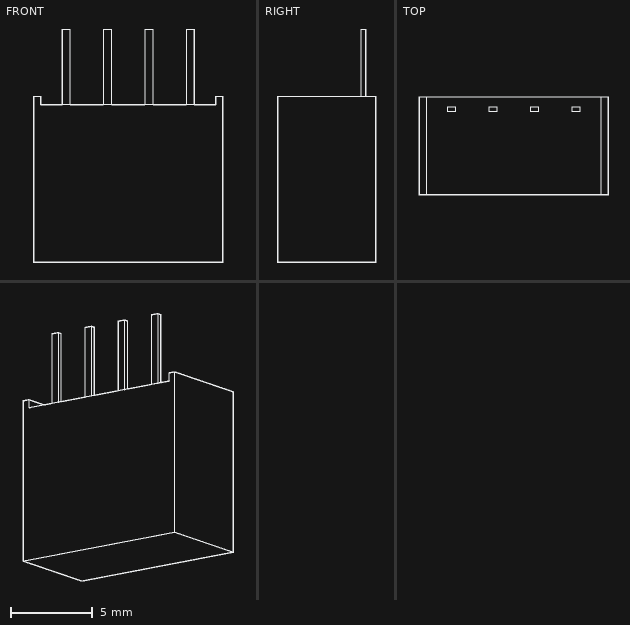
import cadquery as cq

body_length = 11.6
body_depth = 6.0
overall_height = 14.26
rail_top = 10.17

rail_width = 0.44
rail_height = 0.51
floor_height = rail_top - rail_height

pin_count = 4
pin_pitch = 2.54
pin_width = 0.5
pin_thickness = 0.3
pin_row_inset = 0.75
pin_length = overall_height - floor_height
pin_row_y = body_depth / 2 - pin_row_inset


def make_housing():
    """Block with a full-depth recess that leaves a rail at each end."""
    block = cq.Workplane("XY").box(body_length, body_depth, rail_top, centered=(True, True, False))
    recess = (
        cq.Workplane("XY")
        .workplane(offset=floor_height)
        .rect(body_length - 2 * rail_width, body_depth)
        .extrude(rail_height)
    )
    return block.cut(recess)


def make_pins():
    """Evenly spaced pins, with the row centred along the housing."""
    return (
        cq.Workplane("XY")
        .workplane(offset=floor_height)
        .center(0, pin_row_y)
        .rarray(pin_pitch, 0.14, pin_count, 1)
        .rect(pin_width, pin_thickness)
        .extrude(pin_length)
    )


result = make_housing().union(make_pins())